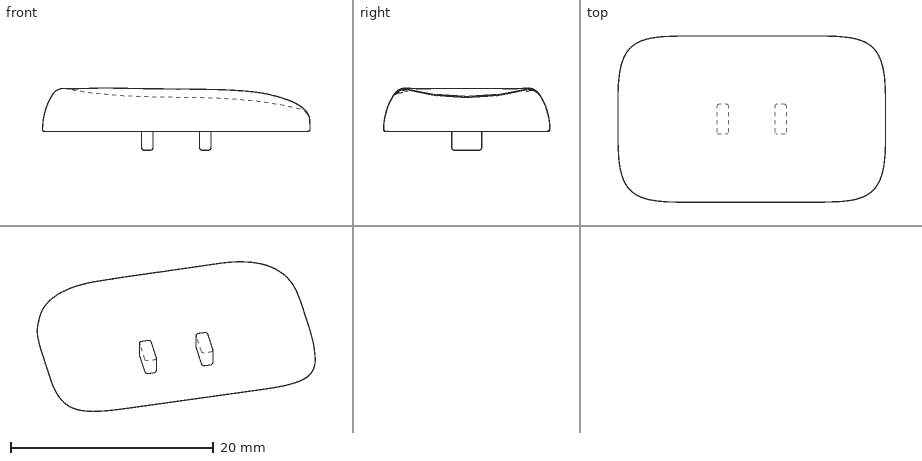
import cadquery as cq

HALF_LENGTH = 13.24
HALF_WIDTH = 8.23
BASE_EDGE_FILLET = 0.2

STRAIGHT_SHARE_X = 0.5
STRAIGHT_SHARE_Y = 0.26
BASE_PULL_X = 0.75
BASE_PULL_Y = 0.92
TOP_PULL_X = 0.56
TOP_PULL_Y = 0.6

WALL_LEVELS = [
    (0.0, 0.0, 0.0, 0.0),
    (0.26, 0.0, 0.0, 0.0),
    (1.72, 0.19, 0.08, 0.19),
    (3.3, 0.8, 0.3, 0.82),
    (5.03, 2.06, 0.95, 2.33),
]
WALL_TOP = WALL_LEVELS[-1][0]

DISH_HALF_WIDTH = 5.75
DISH_MIDDLE_HEIGHT = [3.4, -0.19, 0.0, -1.25]
DISH_EDGE_HEIGHT = [4.15, -0.13, 0.0, -0.82, -0.85]
DISH_GRID_STEPS = 20
DISH_GRID_TOLERANCE = 0.01
DISH_OVERHANG = 1.1
RIM_FILLET = 1.27

LEG_SPACING = 5.72
LEG_THICKNESS = 1.16
LEG_WIDTH = 3.0
LEG_LENGTH = 1.85
LEG_OVERLAP = 0.53
LEG_FILLET = 0.3


def between(base_value, top_value, height):
    """Value at a height, changing evenly from the base to the top of the wall."""
    return base_value + (top_value - base_value) * height / WALL_TOP


def plan_outline(height, left_inset, right_inset, side_inset):
    """Rounded rectangle at one height, with a Bezier curve at each corner."""
    centre_x = (left_inset - right_inset) / 2
    half_x = HALF_LENGTH - (left_inset + right_inset) / 2
    half_y = HALF_WIDTH - side_inset
    flat_x = STRAIGHT_SHARE_X * half_x
    flat_y = STRAIGHT_SHARE_Y * half_y
    pull_x = flat_x + between(BASE_PULL_X, TOP_PULL_X, height) * (half_x - flat_x)
    pull_y = flat_y + between(BASE_PULL_Y, TOP_PULL_Y, height) * (half_y - flat_y)
    corner = [(half_x, flat_y), (half_x, pull_y), (pull_x, half_y), (flat_x, half_y)]

    def place(x, y):
        return cq.Vector(centre_x + x, y, height)

    edges = []
    for sign_x, sign_y in [(1, 1), (-1, 1), (-1, -1), (1, -1)]:
        points = [place(sign_x * x, sign_y * y) for x, y in corner]
        if sign_x == sign_y:
            straight_end = place(-sign_x * flat_x, sign_y * half_y)
        else:
            points.reverse()
            straight_end = place(sign_x * half_x, -sign_y * flat_y)
        edges.append(cq.Edge.makeBezier(points))
        edges.append(cq.Edge.makeLine(points[-1], straight_end))
    return cq.Wire.assembleEdges(edges)


def polynomial(coefficients, u):
    return sum(c * u**power for power, c in enumerate(coefficients))


def dish_height(x, y):
    """Height of the top: hollow across Y, falling away towards +X."""
    u = x / HALF_LENGTH
    middle = polynomial(DISH_MIDDLE_HEIGHT, u)
    edge = polynomial(DISH_EDGE_HEIGHT, u)
    return middle + (edge - middle) * (y / DISH_HALF_WIDTH) ** 2


def space_above_dish():
    """Everything above the dished surface, reaching past the body on all sides."""
    steps = [DISH_OVERHANG * (2 * i / DISH_GRID_STEPS - 1) for i in range(DISH_GRID_STEPS + 1)]
    xs = [HALF_LENGTH * step for step in steps]
    ys = [HALF_WIDTH * step for step in steps]
    grid = [[cq.Vector(x, y, dish_height(x, y)) for y in ys] for x in xs]
    surface = cq.Face.makeSplineApprox(grid, tol=DISH_GRID_TOLERANCE)
    return cq.Workplane(cq.Solid.extrudeLinear(surface, cq.Vector(0, 0, WALL_TOP)))


def rounded_body():
    wall = cq.Solid.makeLoft([plan_outline(*level) for level in WALL_LEVELS])
    body = cq.Workplane(wall).cut(space_above_dish())
    body = body.faces("<Z").edges().fillet(BASE_EDGE_FILLET)
    dish_middle = (0, 0, DISH_MIDDLE_HEIGHT[0])
    dish = body.faces(cq.selectors.NearestToPointSelector(dish_middle))
    return dish.edges().fillet(RIM_FILLET)


def leg(x):
    """Rounded block reaching a little way up into the body."""
    return (
        cq.Workplane("XY")
        .box(LEG_THICKNESS, LEG_WIDTH, LEG_LENGTH + LEG_OVERLAP, centered=(True, True, False))
        .edges("|Z or <Z")
        .fillet(LEG_FILLET)
        .translate((x, 0, -LEG_LENGTH))
    )


result = rounded_body()
for leg_x in (-LEG_SPACING / 2, LEG_SPACING / 2):
    result = result.union(leg(leg_x))